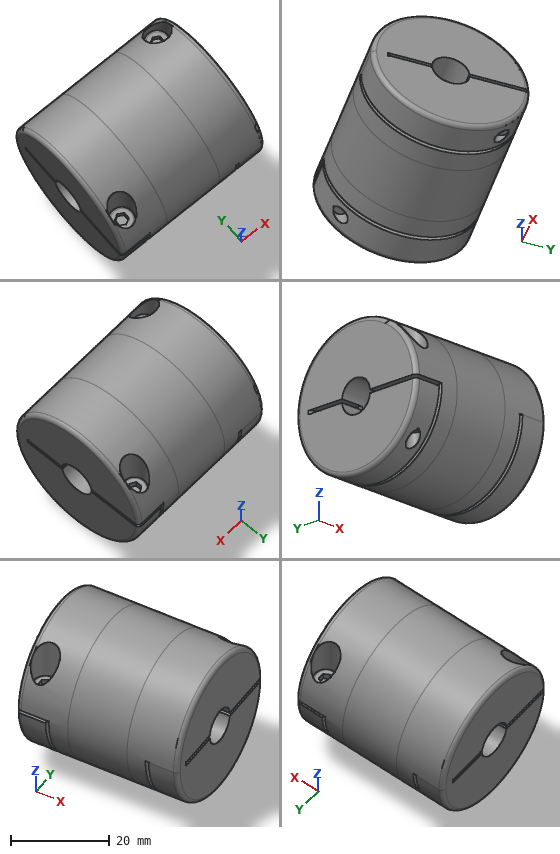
import cadquery as cq
import math

OUTER_DIAMETER = 34.0
LENGTH = 38.0
BORE_DIAMETER = 8.0
EDGE_RADIUS = 1.0
SLEEVE_LENGTH = 14.0

SLIT_WIDTH = 0.8
CROSS_SLIT_INNER_X = 11.4
CLAMP_SLIT_END_RADIUS = 25.0

SCREW_X = 15.0
SCREW_Y = 12.25
SHANK_DIAMETER = 3.0
CLEARANCE_DIAMETER = 3.5
HEAD_DIAMETER = 5.5
HEAD_HEIGHT = 3.0
HEAD_EDGE_RADIUS = 0.4
COUNTERBORE_DIAMETER = 6.0
HEAD_SEAT_Z = 2.4
SHANK_LENGTH = 12.0
HEX_ACROSS_FLATS = 2.5
HEX_DEPTH = 1.5

RADIUS = OUTER_DIAMETER / 2
HALF_LENGTH = LENGTH / 2
HUB_TURNS = (0, 180)


def vertical_cylinder(diameter, bottom_z, top_z):
    """Cylinder on the screw axis of the -X hub."""
    return (
        cq.Workplane("XY", origin=(-SCREW_X, -SCREW_Y, bottom_z))
        .circle(diameter / 2)
        .extrude(top_z - bottom_z)
    )


def turned(shape, angle):
    return shape.rotate((0, 0, 0), (0, 0, 1), angle)


def make_blank():
    """Bored cylinder along X with rounded outer rims; the middle band keeps its own outer face."""
    def rod(start_x, length):
        return cq.Workplane("YZ", origin=(start_x, 0, 0)).circle(RADIUS).extrude(length)

    hub_length = (LENGTH - SLEEVE_LENGTH) / 2
    hub = rod(-HALF_LENGTH, hub_length).faces("<X").edges().fillet(EDGE_RADIUS)
    blank = rod(-SLEEVE_LENGTH / 2, SLEEVE_LENGTH)
    for angle in HUB_TURNS:
        blank = blank.union(turned(hub, angle), clean=False)
    bore = cq.Workplane("YZ", origin=(-HALF_LENGTH, 0, 0)).circle(BORE_DIAMETER / 2).extrude(LENGTH)
    return blank.cut(bore, clean=False)


def make_clamp_slit():
    """Slit of the -X hub, open at its screw side; past the bore its end wall curves back to the end face."""
    arc_center_y = -BORE_DIAMETER / 2
    arc_center_x = -CROSS_SLIT_INNER_X - SLIT_WIDTH / 2 - CLAMP_SLIT_END_RADIUS
    straight_part = cq.Workplane("XY").box(
        HALF_LENGTH - CROSS_SLIT_INNER_X, RADIUS, SLIT_WIDTH, centered=(False, False, True)
    ).translate((-HALF_LENGTH, -RADIUS, 0))
    curved_part = (
        cq.Workplane("XY", origin=(arc_center_x, arc_center_y, -SLIT_WIDTH / 2))
        .circle(CLAMP_SLIT_END_RADIUS)
        .extrude(SLIT_WIDTH)
    )
    return straight_part.union(curved_part)


def make_cross_slit():
    """Slit that frees the lower half of the -X hub from the rest of the coupling."""
    return cq.Workplane("XY").box(
        SLIT_WIDTH, OUTER_DIAMETER, RADIUS, centered=(False, True, False)
    ).translate((-CROSS_SLIT_INNER_X - SLIT_WIDTH, 0, -RADIUS))


def make_screw_hole():
    """Stepped screw hole of the -X hub, from the thread at the bottom to the counterbore at the top."""
    thread_hole = vertical_cylinder(SHANK_DIAMETER, -RADIUS, 0)
    clearance_hole = vertical_cylinder(CLEARANCE_DIAMETER, 0, HEAD_SEAT_Z)
    counterbore = vertical_cylinder(COUNTERBORE_DIAMETER, HEAD_SEAT_Z, RADIUS)
    return thread_hole.union(clearance_hole).union(counterbore)


def make_coupling():
    hub_cutter = make_clamp_slit().union(make_cross_slit()).union(make_screw_hole())
    coupling = make_blank()
    for angle in HUB_TURNS:
        coupling = coupling.cut(turned(hub_cutter, angle), clean=False)
    return coupling


def make_screw():
    """Socket head cap screw of the -X hub, head up."""
    head_top_z = HEAD_SEAT_Z + HEAD_HEIGHT
    head = vertical_cylinder(HEAD_DIAMETER, HEAD_SEAT_Z, head_top_z)
    head = head.faces(">Z").edges().fillet(HEAD_EDGE_RADIUS)
    hex_across_corners = HEX_ACROSS_FLATS / math.cos(math.radians(30))
    socket = (
        cq.Workplane("XY")
        .polygon(6, hex_across_corners)
        .extrude(HEX_DEPTH)
        .rotate((0, 0, 0), (0, 0, 1), 90)
        .translate((-SCREW_X, -SCREW_Y, head_top_z - HEX_DEPTH))
    )
    shank = vertical_cylinder(SHANK_DIAMETER, HEAD_SEAT_Z - SHANK_LENGTH, HEAD_SEAT_Z)
    return head.union(shank).cut(socket)


coupling = make_coupling()
screws = [turned(make_screw(), angle) for angle in HUB_TURNS]

result = cq.Compound.makeCompound([coupling.val(), *[screw.val() for screw in screws]])